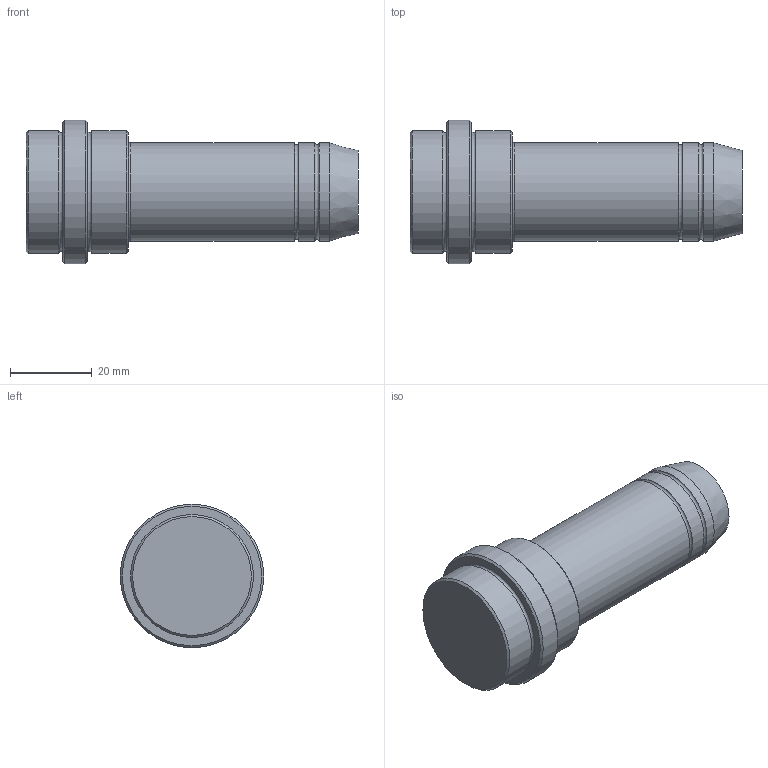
import cadquery as cq
import math

total_length = 81.0
head_radius = 30.0 / 2
flange_radius = 35.0 / 2
shank_radius = 24.0 / 2
taper_angle = 15.0
edge_chamfer = 0.5
groove_radius = 0.5
shoulder_fillet = 0.5

flange_start = 9.0
flange_width = 6.0
flange_end = flange_start + flange_width
shoulder_end = 25.0
taper_length = 7.0
taper_start = total_length - taper_length
tip_radius = shank_radius - taper_length * math.tan(math.radians(taper_angle))
shank_groove_centers = (66.0, 71.0)


def cylinder(start, end, radius):
    """Solid cylinder on the X axis between two axial positions."""
    return cq.Workplane("YZ").workplane(offset=start).circle(radius).extrude(end - start)


def make_head():
    """Press-fit head: one cylinder passing through the flange, both ends chamfered."""
    return cylinder(0, shoulder_end, head_radius).edges().chamfer(edge_chamfer)


def make_flange():
    """Locating flange with both rims chamfered."""
    return cylinder(flange_start, flange_end, flange_radius).edges().chamfer(edge_chamfer)


def make_shank():
    """Shank with a fillet into the head shoulder and a tapered lead-in tip."""
    fillet_edge_radius = shank_radius + shoulder_fillet
    profile = (
        cq.Workplane("XY")
        .moveTo(0, 0)
        .lineTo(0, fillet_edge_radius)
        .lineTo(shoulder_end, fillet_edge_radius)
        .radiusArc((shoulder_end + shoulder_fillet, shank_radius), -shoulder_fillet)
        .lineTo(taper_start, shank_radius)
        .lineTo(total_length, tip_radius)
        .lineTo(total_length, 0)
        .close()
    )
    return profile.revolve(360, (0, 0, 0), (1, 0, 0))


def groove_cutter(center, surface_radius):
    """Ring of round section that leaves a half-round groove in a cylinder."""
    section = cq.Workplane("XY").center(center, surface_radius).circle(groove_radius)
    return section.revolve(360, (0, -surface_radius, 0), (1, -surface_radius, 0))


head = make_head()
for relief_center in (flange_start - groove_radius, flange_end + groove_radius):
    head = head.cut(groove_cutter(relief_center, head_radius))

shank = make_shank()
for groove_center in shank_groove_centers:
    shank = shank.cut(groove_cutter(groove_center, shank_radius))

result = head.union(make_flange()).union(shank)